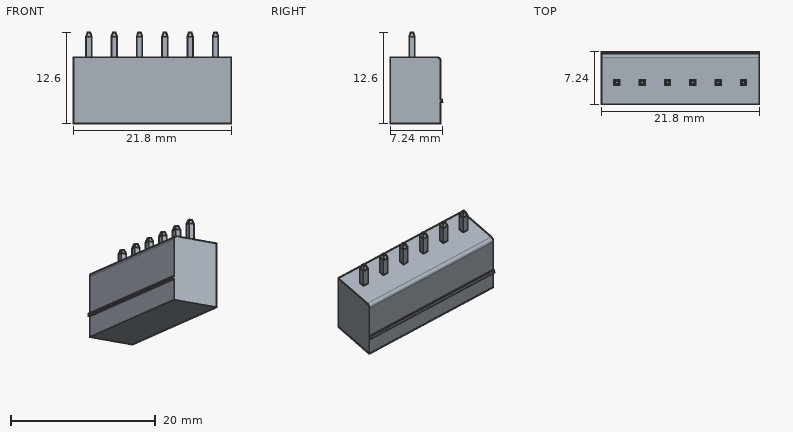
import cadquery as cq

length = 21.8
body_depth = 6.98
body_height = 9.2
back_fillet = 0.5

ridge_projection = 0.26
ridge_bottom = 2.96
ridge_height = 0.4
ridge_top_slope = 0.09

pin_count = 6
first_pin_x = 2.14
last_pin_x = 19.62
pin_pitch = (last_pin_x - first_pin_x) / (pin_count - 1)
pin_y = 3.0
pin_size = 0.8
pin_height = 3.4
tip_size = 0.4
tip_height = 0.6


def housing():
    """Plain block with its top back edge rounded."""
    block = cq.Workplane("XY").box(length, body_depth, body_height, centered=False)
    return block.edges(">Y and >Z").fillet(back_fillet)


def locking_ridge():
    """Low full-length ridge whose outer face leans inwards towards its top."""
    ridge_top = ridge_bottom + ridge_height
    ridge_face = body_depth + ridge_projection
    outline = [
        (body_depth, ridge_bottom),
        (ridge_face, ridge_bottom),
        (ridge_face - ridge_top_slope, ridge_top),
        (body_depth, ridge_top),
    ]
    return cq.Workplane("YZ").polyline(outline).close().extrude(length)


def pin(x):
    """Square pin standing on the housing, with a tapered tip."""
    shank_height = pin_height - tip_height
    shank = (
        cq.Workplane("XY", origin=(x, pin_y, body_height))
        .rect(pin_size, pin_size)
        .extrude(shank_height)
    )
    tip = (
        cq.Workplane("XY", origin=(x, pin_y, body_height + shank_height))
        .rect(pin_size, pin_size)
        .workplane(offset=tip_height)
        .rect(tip_size, tip_size)
        .loft(ruled=True)
    )
    return shank.union(tip)


result = housing().union(locking_ridge())
for index in range(pin_count):
    result = result.union(pin(first_pin_x + index * pin_pitch))